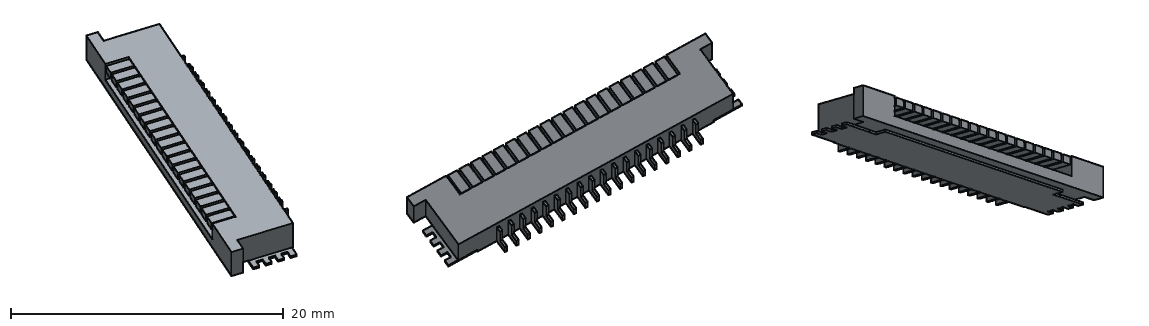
import cadquery as cq

TOTAL_LENGTH = 25.92
TOTAL_DEPTH = 6.53
TOTAL_HEIGHT = 2.57
CONTACT_COUNT = 18
CONTACT_ROW_LENGTH = 17.0
PITCH = CONTACT_ROW_LENGTH / (CONTACT_COUNT - 1)

PLATE_THICKNESS = 0.18
BODY_LENGTH = 23.85
BODY_BACK = 5.42
FLANGE_DEPTH = 0.93

FINGER_COUNT = CONTACT_COUNT + 1
FINGER_GAP = 0.2
FINGER_WIDTH = PITCH - FINGER_GAP
FINGER_BOTTOM = 1.87
FINGER_DROP = 0.08
SLOT_END_GAP = 0.15
SLOT_LENGTH = FINGER_COUNT * PITCH - FINGER_GAP + 2 * SLOT_END_GAP
SLOT_DEPTH = 1.87
SLOT_FLOOR = 1.0

REAR_PLATE_LENGTH = 20.53

TAIL_WIDTH = 0.2
RISER_BACK = 5.88
RISER_TOP = 2.02
FOOT_TOP = 0.7

TAB_SPAN = 25.5
TAB_ROOT_SPAN = 24.42
TAB_FRONT = 1.85
TOOTH_COUNT = 4
TOOTH_WIDTH = PITCH / 2


def block(length, y_front, y_back, z_bottom, z_top, x_center=0.0):
    """Box centred on x_center, given by its limits along Y and Z."""
    shape = cq.Workplane("XY").box(length, y_back - y_front, z_top - z_bottom, centered=(True, False, False))
    return shape.translate((x_center, y_front, z_bottom))


def row_positions(count):
    """X centres of evenly pitched items, symmetric about X = 0."""
    return [(index - (count - 1) / 2) * PITCH for index in range(count)]


def make_housing():
    body = block(BODY_LENGTH, 0, BODY_BACK, PLATE_THICKNESS, TOTAL_HEIGHT)
    flange = block(TOTAL_LENGTH, 0, FLANGE_DEPTH, PLATE_THICKNESS, TOTAL_HEIGHT)
    slot = block(SLOT_LENGTH, 0, SLOT_DEPTH, SLOT_FLOOR, TOTAL_HEIGHT)
    return body.union(flange).cut(slot)


def make_base_plate():
    front = block(SLOT_LENGTH, FLANGE_DEPTH, BODY_BACK, 0, PLATE_THICKNESS)
    rear = block(REAR_PLATE_LENGTH, SLOT_DEPTH, BODY_BACK, 0, PLATE_THICKNESS)
    return front.union(rear)


def make_tabs():
    """Both solder tabs: a strip beside each end of the base plate, with teeth pointing outward."""
    strip_back = TAB_FRONT + (TOOTH_COUNT - 1) * PITCH + TOOTH_WIDTH
    tabs = block(TAB_ROOT_SPAN, TAB_FRONT, strip_back, 0, PLATE_THICKNESS)
    for index in range(TOOTH_COUNT):
        tooth_front = TAB_FRONT + index * PITCH
        tabs = tabs.union(block(TAB_SPAN, tooth_front, tooth_front + TOOTH_WIDTH, 0, PLATE_THICKNESS))
    space_between = block(REAR_PLATE_LENGTH, TAB_FRONT, strip_back, 0, PLATE_THICKNESS)
    return tabs.cut(space_between)


def make_finger(x_center):
    return block(FINGER_WIDTH, 0, SLOT_DEPTH, FINGER_BOTTOM, TOTAL_HEIGHT - FINGER_DROP, x_center)


def make_tail(x_center):
    riser = block(TAIL_WIDTH, BODY_BACK, RISER_BACK, 0, RISER_TOP, x_center)
    foot = block(TAIL_WIDTH, BODY_BACK, TOTAL_DEPTH, 0, FOOT_TOP, x_center)
    return riser.union(foot)


result = make_housing().union(make_base_plate()).union(make_tabs())
for x in row_positions(FINGER_COUNT):
    result = result.union(make_finger(x))
for x in row_positions(CONTACT_COUNT):
    result = result.union(make_tail(x))